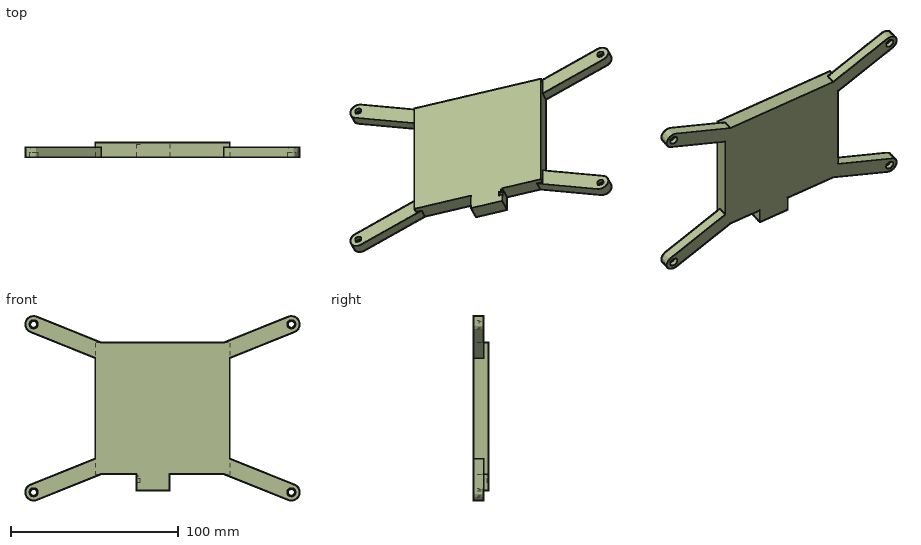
import cadquery as cq
import math

overall_width = 163.5
overall_height = 110.0
overall_depth = 9.0

plate_width = 80.3
plate_height = 78.5
plate_bottom = -plate_height / 2

tab_width = 19.8
tab_drop = 9.8
tab_left = -15.5

notch_top = plate_bottom - 0.8
notch_step = plate_bottom - 2.3
notch_bottom = plate_bottom - 4.9
notch_depth = 1.1
notch_upper_length = 1.0
notch_lower_length = 2 * notch_upper_length

arm_thickness = 6.0
arm_width = 10.0
arm_radius = arm_width / 2
arm_angle = 21.9
arm_length = 44.1
tip_x = overall_width / 2 - arm_radius
tip_z = overall_height / 2 - arm_radius

hole_diameter = 4.0
counterbore_diameter = arm_width / 2
counterbore_depth = arm_thickness / 2


def block(x_min, x_max, y_min, y_max, z_min, z_max):
    """Axis-aligned box between the given limits."""
    size = (x_max - x_min, y_max - y_min, z_max - z_min)
    return cq.Workplane("XY").box(*size, centered=False).translate((x_min, y_min, z_min))


def arm(x_sign, z_sign):
    """Arm running from its rounded tip inwards into the plate."""
    direction = math.radians(arm_angle)
    root_x = tip_x - arm_length * math.cos(direction)
    root_z = tip_z - arm_length * math.sin(direction)
    side_x = arm_radius * math.sin(direction)
    side_z = arm_radius * math.cos(direction)
    end_x = tip_x + arm_radius * math.cos(direction)
    end_z = tip_z + arm_radius * math.sin(direction)

    def corner(x, z):
        return (x_sign * x, z_sign * z)

    return (
        cq.Workplane("XZ")
        .moveTo(*corner(root_x - side_x, root_z + side_z))
        .lineTo(*corner(tip_x - side_x, tip_z + side_z))
        .threePointArc(corner(end_x, end_z), corner(tip_x + side_x, tip_z - side_z))
        .lineTo(*corner(root_x + side_x, root_z - side_z))
        .close()
        .extrude(-arm_thickness)
    )


plate = block(-plate_width / 2, plate_width / 2, 0, overall_depth, plate_bottom, -plate_bottom)
tab = block(tab_left, tab_left + tab_width, 0, overall_depth, plate_bottom - tab_drop, plate_bottom)

body = plate.union(tab)
for x_sign in (-1, 1):
    for z_sign in (-1, 1):
        body = body.union(arm(x_sign, z_sign))

notch_front = overall_depth - notch_depth
notch_upper = block(
    tab_left, tab_left + notch_upper_length, notch_front, overall_depth, notch_step, notch_top
)
notch_lower = block(
    tab_left, tab_left + notch_lower_length, notch_front, overall_depth, notch_bottom, notch_step
)
body = body.cut(notch_upper).cut(notch_lower)

result = (
    body.faces("<Y")
    .workplane(origin=(0, 0, 0))
    .rarray(2 * tip_x, 2 * tip_z, 2, 2)
    .cboreHole(hole_diameter, counterbore_diameter, counterbore_depth)
)